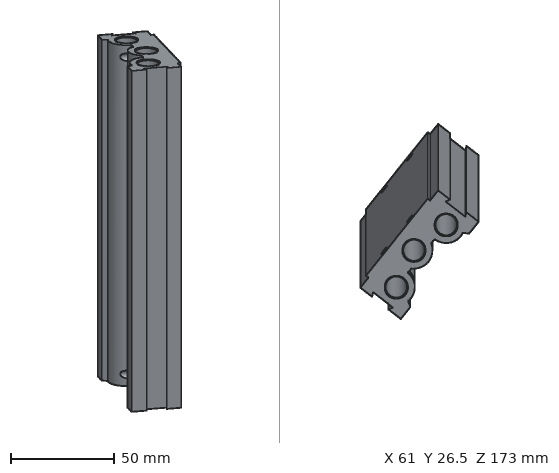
import cadquery as cq
import math

length = 173.0
width = 61.0
depth = 26.5

pad_width = 48.5
pad_height = 1.49

bore_radius = 5.2
bore_mouth_radius = 5.7
bore_mouth_angle = 45
bore_wall_radius = 9.0
middle_bore_depth = 10.5
side_bore_depth = 15.0
side_bore_offset = 19.5

valley_depth = side_bore_depth

foot_inner_offset = 23.0
foot_slope_top_offset = 21.5

groove_depth = 2.0
groove_center_depth = 13.8
groove_mouth_width = 10.0
groove_floor_width = 12.1

mount_hole_diameter = 4.3
mount_hole_offset = 10.0
mount_hole_end_distance = 6.0

back = depth / 2
front = -depth / 2
half_width = width / 2
middle_bore_y = back - middle_bore_depth
side_bore_y = back - side_bore_depth
valley_y = back - valley_depth
shoulder_y = back - pad_height
groove_y = back - groove_center_depth
bore_centers = [
    (-side_bore_offset, side_bore_y),
    (0, middle_bore_y),
    (side_bore_offset, side_bore_y),
]


def chord(radius, distance):
    """Half chord of a circle at a given distance from its center."""
    return math.sqrt(radius**2 - distance**2)


def make_body():
    """Extrude the outline with its pad, feet and three rounded bore walls."""
    middle_wall_end = chord(bore_wall_radius, middle_bore_y - valley_y)
    side_wall_end = side_bore_offset - bore_wall_radius
    slope_top_y = side_bore_y - chord(bore_wall_radius, foot_slope_top_offset - side_bore_offset)
    diagonal = bore_wall_radius * math.cos(math.radians(45))
    side_wall_mid_x = side_bore_offset - diagonal
    side_wall_mid_y = side_bore_y - diagonal
    return (
        cq.Workplane("XY", origin=(0, 0, -length / 2))
        .moveTo(-half_width, front)
        .lineTo(-foot_inner_offset, front)
        .lineTo(-foot_slope_top_offset, slope_top_y)
        .threePointArc((-side_wall_mid_x, side_wall_mid_y), (-side_wall_end, valley_y))
        .lineTo(-middle_wall_end, valley_y)
        .threePointArc((0, middle_bore_y - bore_wall_radius), (middle_wall_end, valley_y))
        .lineTo(side_wall_end, valley_y)
        .threePointArc((side_wall_mid_x, side_wall_mid_y), (foot_slope_top_offset, slope_top_y))
        .lineTo(foot_inner_offset, front)
        .lineTo(half_width, front)
        .lineTo(half_width, shoulder_y)
        .lineTo(pad_width / 2, shoulder_y)
        .lineTo(pad_width / 2, back)
        .lineTo(-pad_width / 2, back)
        .lineTo(-pad_width / 2, shoulder_y)
        .lineTo(-half_width, shoulder_y)
        .close()
        .extrude(length)
    )


def make_side_groove(side):
    """Groove cutter for one side (-1 or 1), wider at its floor than at its mouth."""
    mouth_x = side * half_width
    floor_x = side * (half_width - groove_depth)
    return (
        cq.Workplane("XY", origin=(0, groove_y, -length / 2))
        .polyline([
            (mouth_x, -groove_mouth_width / 2),
            (mouth_x, groove_mouth_width / 2),
            (floor_x, groove_floor_width / 2),
            (floor_x, -groove_floor_width / 2),
        ])
        .close()
        .extrude(length)
    )


def make_bores():
    """Three through bores with a chamfered mouth at both ends."""
    mouth_depth = (bore_mouth_radius - bore_radius) / math.tan(math.radians(bore_mouth_angle))
    bores = (
        cq.Workplane("XY", origin=(0, 0, -length / 2))
        .pushPoints(bore_centers)
        .circle(bore_radius)
        .extrude(length)
    )
    for end in (-1, 1):
        mouths = (
            cq.Workplane("XY", origin=(0, 0, end * length / 2))
            .pushPoints(bore_centers)
            .circle(bore_mouth_radius)
            .extrude(-end * mouth_depth, taper=bore_mouth_angle)
        )
        bores = bores.union(mouths)
    return bores


def make_mount_holes():
    """Four holes through the valleys, two near each end."""
    return (
        cq.Workplane("XZ", origin=(0, back, 0))
        .rect(2 * mount_hole_offset, length - 2 * mount_hole_end_distance, forConstruction=True)
        .vertices()
        .circle(mount_hole_diameter / 2)
        .extrude(depth)
    )


result = make_body()
for side in (-1, 1):
    result = result.cut(make_side_groove(side))
result = result.cut(make_bores()).cut(make_mount_holes())